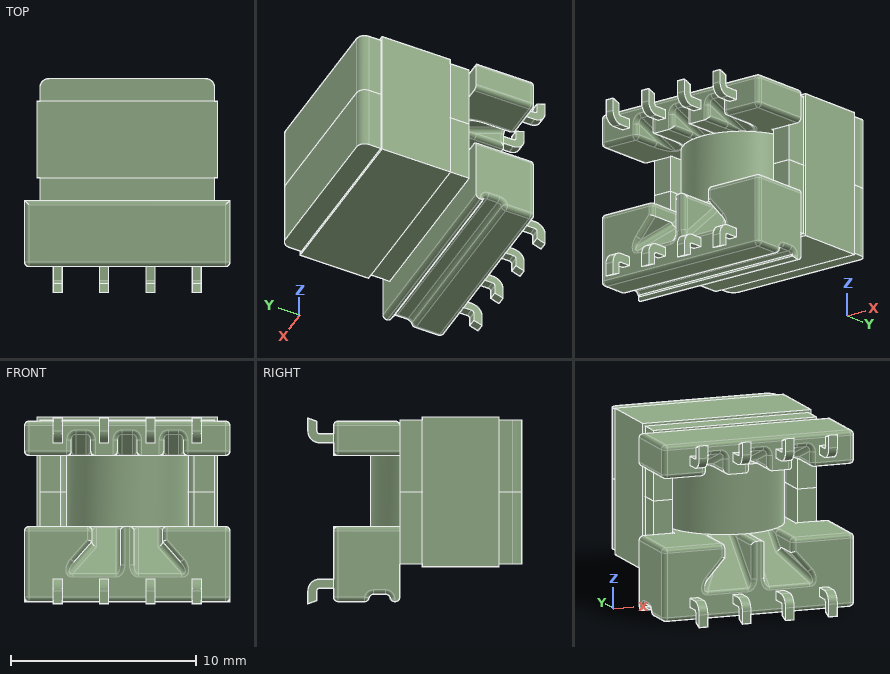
import cadquery as cq
import math


CORE_WIDTH = 9.45
CORE_HALF_HEIGHT = 3.9
CORE_BACK = 4.875
CORE_FRONT = -1.71
CORE_CORNER_RADIUS = 0.5
WINDOW_RADIUS = 3.61
WINDOW_HALF_HEIGHT = 2.6
POST_DIAMETER = 3.4

TAPE_THICKNESS = 0.15
TAPE_BACK = 3.65
TAPE_FRONT = -0.5

BORE_DIAMETER = 3.5
SLEEVE_DIAMETER = 4.52
WINDING_DIAMETER = 6.6
WINDING_TOP = 1.97
WINDING_BOTTOM = -1.86
FLANGE_CLEARANCE = 0.1

BLOCK_WIDTH = 11.1
BLOCK_BACK = CORE_FRONT
BLOCK_FRONT = -5.29
UPPER_BLOCK_TOP = 3.83
LOWER_BLOCK_BOTTOM = -5.93
EDGE_RADIUS = 0.25

RAMP_BACK = -2.23
UPPER_RAMP_FRONT_Z = 3.18
LOWER_RAMP_FRONT_Z = -4.49
NOTCH_COUNT = 3
NOTCH_PITCH = 2.5
NOTCH_WIDTH = 1.05
POCKET_INNER_X = 0.37
POCKET_OUTER_X = 1.9
POCKET_BEND_Z = -2.67
POCKET_FLARE_ANGLE = 48.5

CHANNEL_BACK = -2.23
CHANNEL_FRONT = -3.38
CHANNEL_DEPTH = 0.4

PIN_PITCH = 2.5
PINS_PER_ROW = 4
PIN_SIZE = 0.5
PIN_TIP_Y = -6.685
PIN_HEIGHT = 1.35
PIN_INNER_RADIUS = 0.15
PIN_TIP_ANGLE = 20
UPPER_PIN_Z = 2.65
LOWER_PIN_Z = -4.7

CUTTER_OVERRUN = 1.5
CUTTER_REACH = 3
TOLERANCE = 1e-3


def box(x_size, y_min, y_max, z_min, z_max):
    """Box centred on X = 0."""
    return (
        cq.Workplane("XY")
        .box(x_size, y_max - y_min, z_max - z_min, centered=(True, False, False))
        .translate((0, y_min, z_min))
    )


def cylinder(diameter, z_min, z_max):
    return cq.Workplane("XY").workplane(offset=z_min).circle(diameter / 2).extrude(z_max - z_min)


def u_prism(radius, y_front, z_min, z_max):
    """Half-round back on the post axis, with straight sides running to the front."""
    return (
        cq.Workplane("XY")
        .workplane(offset=z_min)
        .moveTo(-radius, y_front)
        .lineTo(-radius, 0)
        .threePointArc((0, radius), (radius, 0))
        .lineTo(radius, y_front)
        .close()
        .extrude(z_max - z_min)
    )


def fillet_where(body, radius, wanted):
    """Round the edges whose bounding box passes the given test."""
    edges = [edge for edge in body.edges().vals() if wanted(edge.BoundingBox())]
    return body.newObject(edges).fillet(radius)


def near(value, target):
    return abs(value - target) < TOLERANCE


def row_place(index, count, pitch):
    """X place of one item in an evenly spaced row centred on X = 0."""
    return (index - (count - 1) / 2) * pitch


def make_core_half(z_min, z_max):
    half = box(CORE_WIDTH, CORE_FRONT, CORE_BACK, z_min, z_max)
    half = half.edges("|Z and >Y").fillet(CORE_CORNER_RADIUS)
    window = u_prism(WINDOW_RADIUS, CORE_FRONT, -WINDOW_HALF_HEIGHT, WINDOW_HALF_HEIGHT)
    post = cylinder(POST_DIAMETER, z_min, z_max)
    return half.cut(window).union(post)


def make_tape():
    outer_width = CORE_WIDTH + 2 * TAPE_THICKNESS
    outer_half_height = CORE_HALF_HEIGHT + TAPE_THICKNESS
    outer = box(outer_width, TAPE_FRONT, TAPE_BACK, -outer_half_height, outer_half_height)
    inner = box(CORE_WIDTH, TAPE_FRONT, TAPE_BACK, -CORE_HALF_HEIGHT, CORE_HALF_HEIGHT)
    return outer.cut(inner)


def make_winding():
    winding = cylinder(WINDING_DIAMETER, WINDING_BOTTOM, WINDING_TOP)
    return winding.cut(cylinder(SLEEVE_DIAMETER, WINDING_BOTTOM, WINDING_TOP))


def ramp_cutter(outline, open_z, ramp_front_z):
    """Prism of an XZ outline above (or below) a ramp from (RAMP_BACK, open_z) to the block front."""
    slope = (ramp_front_z - open_z) / (BLOCK_FRONT - RAMP_BACK)
    start = (RAMP_BACK + CUTTER_OVERRUN, open_z + slope * CUTTER_OVERRUN)
    end = (BLOCK_FRONT - CUTTER_OVERRUN, ramp_front_z - slope * CUTTER_OVERRUN)
    wedge = (
        cq.Workplane("YZ", origin=(-BLOCK_WIDTH / 2, 0, 0))
        .polyline([start, end, (end[0], start[1])])
        .close()
        .extrude(BLOCK_WIDTH)
    )
    prism = (
        cq.Workplane("XZ", origin=(0, start[0], 0))
        .polyline(outline)
        .close()
        .extrude(start[0] - end[0])
    )
    cutter = wedge.intersect(prism)

    def is_ramp_side(bounds):
        return bounds.ylen > TOLERANCE and bounds.zlen > TOLERANCE

    return fillet_where(cutter, EDGE_RADIUS, is_ramp_side)


def notch_cutter(x_center):
    """Wire guide opening downward in the upper block."""
    left = x_center - NOTCH_WIDTH / 2
    right = x_center + NOTCH_WIDTH / 2
    low = WINDING_TOP - CUTTER_REACH
    high = UPPER_BLOCK_TOP + CUTTER_REACH
    outline = [(left, low), (right, low), (right, high), (left, high)]
    return ramp_cutter(outline, WINDING_TOP, UPPER_RAMP_FRONT_Z)


def pocket_cutter():
    """Wire guide opening upward in the lower block, on the -X side of the middle rib."""
    low = LOWER_BLOCK_BOTTOM - CUTTER_REACH
    high = WINDING_BOTTOM + CUTTER_REACH
    flare = (POCKET_BEND_Z - low) / math.tan(math.radians(POCKET_FLARE_ANGLE))
    outline = [
        (-POCKET_INNER_X, high),
        (-POCKET_OUTER_X, high),
        (-POCKET_OUTER_X, POCKET_BEND_Z),
        (-POCKET_OUTER_X - flare, low),
        (-POCKET_INNER_X, low),
    ]
    return ramp_cutter(outline, WINDING_BOTTOM, LOWER_RAMP_FRONT_Z)


def is_shell_edge(bounds, wire_face_z):
    """True for edges in the block front or wire face, except short lands between wire guides."""
    on_front = near(bounds.ymax, BLOCK_FRONT)
    on_wire_face = near(bounds.zmin, wire_face_z) and near(bounds.zmax, wire_face_z)
    on_back = near(bounds.ymin, BLOCK_BACK)
    is_land = on_front and on_wire_face and max(abs(bounds.xmin), abs(bounds.xmax)) < NOTCH_PITCH
    return (on_front or on_wire_face) and not on_back and not is_land


def make_upper_block():
    block = box(BLOCK_WIDTH, BLOCK_FRONT, BLOCK_BACK, WINDING_TOP, UPPER_BLOCK_TOP)
    for index in range(NOTCH_COUNT):
        block = block.cut(notch_cutter(row_place(index, NOTCH_COUNT, NOTCH_PITCH)))

    def is_rounded(bounds):
        on_top = near(bounds.zmin, UPPER_BLOCK_TOP)
        return on_top or is_shell_edge(bounds, WINDING_TOP)

    return fillet_where(block, EDGE_RADIUS, is_rounded)


def channel_cutter():
    ceiling_z = LOWER_BLOCK_BOTTOM + CHANNEL_DEPTH
    channel = box(BLOCK_WIDTH, CHANNEL_FRONT, CHANNEL_BACK, LOWER_BLOCK_BOTTOM - CHANNEL_DEPTH, ceiling_z)
    return channel.edges("|X and >Z").fillet(EDGE_RADIUS)


def lip_rounding_cutter():
    """Corner left outside a quarter round along the channel side of the back lip."""
    y_round = CHANNEL_BACK + EDGE_RADIUS
    z_round = LOWER_BLOCK_BOTTOM + EDGE_RADIUS
    corner = box(BLOCK_WIDTH, CHANNEL_BACK, y_round, LOWER_BLOCK_BOTTOM, z_round)
    rod = (
        cq.Workplane("YZ", origin=(-BLOCK_WIDTH / 2, y_round, z_round))
        .circle(EDGE_RADIUS)
        .extrude(BLOCK_WIDTH)
    )
    return corner.cut(rod)


def make_lower_block():
    block = box(BLOCK_WIDTH, BLOCK_FRONT, BLOCK_BACK, LOWER_BLOCK_BOTTOM, WINDING_BOTTOM)
    pocket = pocket_cutter()
    block = block.cut(pocket).cut(pocket.mirror("YZ")).cut(channel_cutter())

    def is_rounded(bounds):
        in_channel_height = bounds.zmax < LOWER_BLOCK_BOTTOM + CHANNEL_DEPTH + TOLERANCE
        along_x = bounds.xlen > TOLERANCE
        on_lip_inside = near(bounds.ymin, CHANNEL_BACK) and along_x
        on_lip_end = bounds.ymin > CHANNEL_BACK - TOLERANCE and bounds.ylen > TOLERANCE and not along_x
        on_underside = in_channel_height and near(bounds.zmax, LOWER_BLOCK_BOTTOM) and along_x
        on_side_outline = in_channel_height and not along_x and not on_lip_end
        on_shell = is_shell_edge(bounds, WINDING_BOTTOM)
        return (on_underside and not on_lip_inside) or on_side_outline or on_shell

    block = fillet_where(block, EDGE_RADIUS, is_rounded)
    return block.cut(lip_rounding_cutter())


def make_upper_pin(x_center):
    """Square terminal running out of the upper block and bent upward, with a slanted tip."""
    tip_drop = PIN_SIZE * math.tan(math.radians(PIN_TIP_ANGLE))
    inner_y = PIN_TIP_Y + PIN_SIZE
    low = UPPER_PIN_Z
    high = UPPER_PIN_Z + PIN_HEIGHT
    outline = [
        (BLOCK_FRONT, low),
        (PIN_TIP_Y, low),
        (PIN_TIP_Y, high),
        (inner_y, high - tip_drop),
        (inner_y, low + PIN_SIZE),
        (BLOCK_FRONT, low + PIN_SIZE),
    ]
    pin = (
        cq.Workplane("YZ", origin=(x_center - PIN_SIZE / 2, 0, 0))
        .polyline(outline)
        .close()
        .extrude(PIN_SIZE)
    )

    def is_outer_bend(bounds):
        return near(bounds.ymax, PIN_TIP_Y) and near(bounds.zmax, low)

    def is_inner_bend(bounds):
        at_inner_y = near(bounds.ymin, inner_y) and near(bounds.ymax, inner_y)
        return at_inner_y and near(bounds.zmax, low + PIN_SIZE)

    pin = fillet_where(pin, PIN_INNER_RADIUS + PIN_SIZE, is_outer_bend)
    return fillet_where(pin, PIN_INNER_RADIUS, is_inner_bend)


def make_bobbin():
    """Blocks, flanges, sleeve and terminals as one solid with a through bore for the posts."""
    flange_radius = WINDOW_RADIUS - FLANGE_CLEARANCE
    spool_top = WINDOW_HALF_HEIGHT - FLANGE_CLEARANCE
    spool_bottom = -spool_top
    upper_flange = u_prism(flange_radius, BLOCK_BACK, WINDING_TOP, spool_top)
    lower_flange = u_prism(flange_radius, BLOCK_BACK, spool_bottom, WINDING_BOTTOM)
    bobbin = cylinder(SLEEVE_DIAMETER, spool_bottom, spool_top).union(upper_flange).union(lower_flange)
    bobbin = bobbin.union(make_upper_block()).union(make_lower_block())
    for index in range(PINS_PER_ROW):
        upper_pin = make_upper_pin(row_place(index, PINS_PER_ROW, PIN_PITCH))
        lower_pin = upper_pin.mirror("XY").translate((0, 0, UPPER_PIN_Z + LOWER_PIN_Z))
        bobbin = bobbin.union(upper_pin).union(lower_pin)
    return bobbin.cut(cylinder(BORE_DIAMETER, spool_bottom, spool_top))


upper_core = make_core_half(0, CORE_HALF_HEIGHT)
lower_core = make_core_half(-CORE_HALF_HEIGHT, 0)
tape = make_tape()
winding = make_winding()
bobbin = make_bobbin()

bodies = [upper_core, lower_core, tape, winding, bobbin]
result = cq.Compound.makeCompound([body.solids().val() for body in bodies])